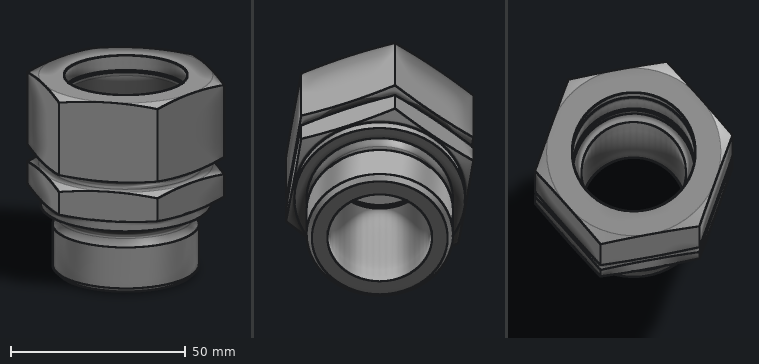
import cadquery as cq
import math

TOTAL_HEIGHT = 59.0
ACROSS_FLATS = 50.0
HEX_FACE_RADIUS = ACROSS_FLATS / 2
HEX_CHAMFER_ANGLE = math.radians(15)
NUT_BOTTOM_Z = 35.0
COLLAR_TOP_Z = 32.0
COLLAR_BOTTOM_Z = 23.0
FLANGE_BOTTOM_Z = 20.0

STUD_RADIUS = 42.0 / 2
STUD_CHAMFER = 1.55
FLANGE_RADIUS = 48.95 / 2
RELIEF_BOTTOM_Z = 13.9
RELIEF_ANGLE = math.radians(30)
RELIEF_RADIUS = 1.55
NECK_FILLET = 1.3

BORE_RADIUS = 30.0 / 2
TUBE_RADIUS = 35.0 / 2
TUBE_STOP_Z = 37.45
SEAT_RELIEF_RADIUS = 35.2 / 2
SEAT_RELIEF_BOTTOM_Z = 40.7
CONE_BOTTOM_Z = 41.25
CONE_ANGLE = math.radians(12)
CONE_MOUTH_RADIUS = 37.9 / 2
NECK_TOP_Z = CONE_BOTTOM_Z + (CONE_MOUTH_RADIUS - SEAT_RELIEF_RADIUS) / math.tan(CONE_ANGLE)

RING_BOTTOM_Z = 43.05
RING_TOP_Z = 53.8
RING_LEAD_IN_DEPTH = 0.95
RING_LEAD_IN_RADIUS = TUBE_RADIUS + RING_LEAD_IN_DEPTH * math.tan(CONE_ANGLE)

NUT_BORE_RADIUS = 35.3 / 2
NUT_RIM_CHAMFER = 0.1
LIP_BOTTOM_Z = 54.5
RING_TOP_RADIUS = NUT_BORE_RADIUS + LIP_BOTTOM_Z - RING_TOP_Z
SHOULDER_BOTTOM_Z = LIP_BOTTOM_Z - (CONE_MOUTH_RADIUS - NUT_BORE_RADIUS)


def revolve_profile(profile):
    """Turn a profile drawn in the (radius, z) half plane about the Z axis."""
    return profile.close().revolve(360, (0, 0, 0), (0, 1, 0))


def hexagon(bottom_z, top_z):
    """Hexagonal prism, flats facing +X and -X, with its corners coned off at both ends."""
    height = top_z - bottom_z
    corner_radius = ACROSS_FLATS / 2 / math.cos(math.pi / 6)
    chamfer = (corner_radius - HEX_FACE_RADIUS) * math.tan(HEX_CHAMFER_ANGLE)
    prism = (
        cq.Workplane("XY", origin=(0, 0, bottom_z))
        .polygon(6, 2 * corner_radius)
        .extrude(height)
        .rotate((0, 0, 0), (0, 0, 1), 30)
    )
    envelope = revolve_profile(
        cq.Workplane("XZ")
        .moveTo(0, bottom_z)
        .lineTo(HEX_FACE_RADIUS, bottom_z)
        .lineTo(corner_radius, bottom_z + chamfer)
        .lineTo(corner_radius, top_z - chamfer)
        .lineTo(HEX_FACE_RADIUS, top_z)
        .lineTo(0, top_z)
    )
    return prism.intersect(envelope)


def fitting_turned_outside():
    """Stud, relief groove, flange and neck as one turned solid."""
    groove_mid_z = (RELIEF_BOTTOM_Z + FLANGE_BOTTOM_Z) / 2
    tangent_offset = RELIEF_RADIUS * math.sin(RELIEF_ANGLE)
    flank_height = (FLANGE_BOTTOM_Z - RELIEF_BOTTOM_Z) / 2 - tangent_offset
    tangent_radius = STUD_RADIUS - flank_height * math.tan(RELIEF_ANGLE)
    root_radius = tangent_radius - RELIEF_RADIUS * (1 - math.cos(RELIEF_ANGLE))

    fillet_mid = NECK_FILLET * (1 - math.sqrt(0.5))
    return revolve_profile(
        cq.Workplane("XZ")
        .moveTo(0, 0)
        .lineTo(STUD_RADIUS - STUD_CHAMFER, 0)
        .lineTo(STUD_RADIUS, STUD_CHAMFER)
        .lineTo(STUD_RADIUS, RELIEF_BOTTOM_Z)
        .lineTo(tangent_radius, groove_mid_z - tangent_offset)
        .threePointArc((root_radius, groove_mid_z), (tangent_radius, groove_mid_z + tangent_offset))
        .lineTo(STUD_RADIUS, FLANGE_BOTTOM_Z)
        .lineTo(FLANGE_RADIUS, FLANGE_BOTTOM_Z)
        .lineTo(FLANGE_RADIUS, COLLAR_TOP_Z)
        .lineTo(STUD_RADIUS + NECK_FILLET, COLLAR_TOP_Z)
        .threePointArc(
            (STUD_RADIUS + fillet_mid, COLLAR_TOP_Z + fillet_mid),
            (STUD_RADIUS, COLLAR_TOP_Z + NECK_FILLET),
        )
        .lineTo(STUD_RADIUS, NECK_TOP_Z)
        .lineTo(0, NECK_TOP_Z)
    )


def fitting_bore():
    """Through bore, tube seat, seat relief and sealing cone to be cut from the fitting."""
    return revolve_profile(
        cq.Workplane("XZ")
        .moveTo(0, 0)
        .lineTo(BORE_RADIUS, 0)
        .lineTo(BORE_RADIUS, TUBE_STOP_Z)
        .lineTo(TUBE_RADIUS, TUBE_STOP_Z)
        .lineTo(TUBE_RADIUS, SEAT_RELIEF_BOTTOM_Z)
        .lineTo(SEAT_RELIEF_RADIUS, SEAT_RELIEF_BOTTOM_Z)
        .lineTo(SEAT_RELIEF_RADIUS, CONE_BOTTOM_Z)
        .lineTo(CONE_MOUTH_RADIUS, NECK_TOP_Z)
        .lineTo(0, NECK_TOP_Z)
    )


def make_fitting():
    collar = hexagon(COLLAR_BOTTOM_Z, COLLAR_TOP_Z)
    return fitting_turned_outside().union(collar).cut(fitting_bore())


def make_cutting_ring():
    """Ring wedged between the fitting's sealing cone and the nut's shoulder."""
    tip_radius = SEAT_RELIEF_RADIUS + (RING_BOTTOM_Z - CONE_BOTTOM_Z) * math.tan(CONE_ANGLE)
    return revolve_profile(
        cq.Workplane("XZ")
        .moveTo(TUBE_RADIUS, RING_BOTTOM_Z)
        .lineTo(tip_radius, RING_BOTTOM_Z)
        .lineTo(CONE_MOUTH_RADIUS, NECK_TOP_Z)
        .lineTo(CONE_MOUTH_RADIUS, SHOULDER_BOTTOM_Z)
        .lineTo(RING_TOP_RADIUS, RING_TOP_Z)
        .lineTo(RING_LEAD_IN_RADIUS, RING_TOP_Z)
        .lineTo(TUBE_RADIUS, RING_TOP_Z - RING_LEAD_IN_DEPTH)
    )


def nut_bore():
    """Stepped hole of the nut: neck bore, ring bore, 45 degree shoulder, lip and bevelled rim."""
    return revolve_profile(
        cq.Workplane("XZ")
        .moveTo(0, NUT_BOTTOM_Z)
        .lineTo(STUD_RADIUS, NUT_BOTTOM_Z)
        .lineTo(STUD_RADIUS, NECK_TOP_Z)
        .lineTo(CONE_MOUTH_RADIUS, NECK_TOP_Z)
        .lineTo(CONE_MOUTH_RADIUS, SHOULDER_BOTTOM_Z)
        .lineTo(NUT_BORE_RADIUS, LIP_BOTTOM_Z)
        .lineTo(NUT_BORE_RADIUS, TOTAL_HEIGHT - NUT_RIM_CHAMFER)
        .lineTo(NUT_BORE_RADIUS + NUT_RIM_CHAMFER, TOTAL_HEIGHT)
        .lineTo(0, TOTAL_HEIGHT)
    )


def make_nut():
    return hexagon(NUT_BOTTOM_Z, TOTAL_HEIGHT).cut(nut_bore())


fitting = make_fitting()
cutting_ring = make_cutting_ring()
nut = make_nut()

result = cq.Compound.makeCompound(
    [fitting.solids().val(), cutting_ring.solids().val(), nut.solids().val()]
)